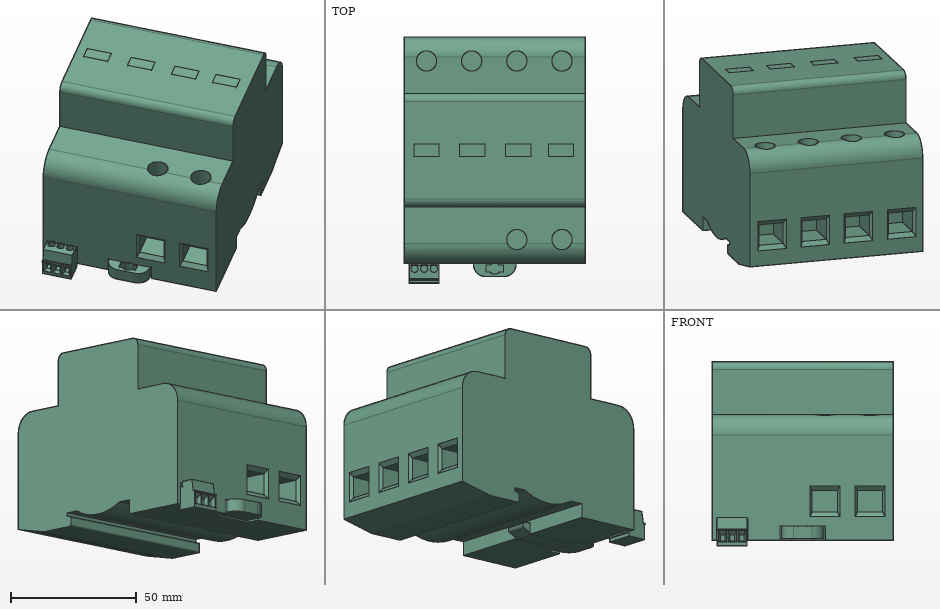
import cadquery as cq


OVERALL_DEPTH = 97.9
WIDTH = 71.9
DEPTH = 90.0
SHOULDER_Z = 49.9
SHOULDER_RADIUS = 8.0
TOP_Z = 71.0
TOP_DEPTH = 44.9
TOP_RADIUS = 3.0
REAR_SLOPE_Z = 3.1
REAR_SLOPE_Y = 30.35
HALF_DEPTH = DEPTH / 2
FRONT_Y = -HALF_DEPTH

GROOVE_Z = 5.7
GROOVE_FRONT_Y = -17.7
GROOVE_REAR_Y = 17.3
HOOK_LENGTH = 2.1
HOOK_ROOT_Z = 4.4
HOOK_TIP_Z = 3.8
HOOK_RADIUS = 0.4
BELLY_HALF_WIDTH = 12.1
BELLY_Z = 2.5

POLE_PITCH = 17.9
POLE_COUNT = 4
POLE_SHIFT = -0.2
POLE_X = [(i - (POLE_COUNT - 1) / 2) * POLE_PITCH + POLE_SHIFT for i in range(POLE_COUNT)]
FRONT_POLE_X = POLE_X[2:]
ACCESS_DIAMETER = 8.0
ACCESS_DEPTH = 19.6
ACCESS_Y = 35.4

ENTRY_CENTER_Z = 15.6
ENTRY_WIDTH = 11.8
ENTRY_HEIGHT = 12.1
ENTRY_INNER_WIDTH = 10.0
ENTRY_INNER_HEIGHT = 8.5
ENTRY_TAPER_DEPTH = 1.5
ENTRY_DEPTH = 14.7

WINDOW_X = [-27.1, -8.9, 9.3, 26.3]
WINDOW_WIDTH = 10.0
WINDOW_LENGTH = 5.0
WINDOW_THICKNESS = 1.0

LATCH_HEAD_BOTTOM_Z = 0.7
LATCH_HEAD_HALF_FLAT = 3.6
LATCH_HEAD_RADIUS = 4.9
LATCH_HEAD_OUT = 5.2
LATCH_HEAD_IN = 5.9
LATCH_CHANNEL_WIDTH = 18.1
SHANK_WIDTH = 8.8
SHANK_TOP_Z = 4.7
NOSE_LENGTH = 3.5
NOSE_TOP_Z = 4.1
NOSE_BOTTOM_Z = 2.35
NOSE_SLOPE_LENGTH = 4.7
NOSE_RADIUS = 0.8
LATCH_HOLE_OUT = 2.0
LATCH_HOLE_DEPTH = 3.9
LATCH_HOLE_DIAMETER = 4.5
LATCH_SLOT_WIDTH = 6.9
LATCH_SLOT_LENGTH = 2.6

PLUG_X = -28.0
PLUG_WIDTH = 11.9
PLUG_TOP_Z = 9.2
PLUG_BOTTOM_Z = -2.2
PLUG_KEY_Z = -0.7
PLUG_KEY_OUT = -1.4
PLUG_BACK_OUT = -0.7
PLUG_NOTCH_OUT = 0.7
PLUG_NOTCH_Z = 7.0
PLUG_TOP_OUT = 6.0
PLUG_LEDGE_OUT = 6.8
PLUG_LEDGE_Z = 4.6
PLUG_FACE_OUT = 7.4
PLUG_RIDGE_OUT = OVERALL_DEPTH - DEPTH
PLUG_RIDGE_Z = 4.2
PLUG_RIDGE_BOTTOM_Z = 3.9
SOCKET_WIDTH = 12.6
SOCKET_TOP_Z = 8.6
TERMINAL_PITCH = 3.8
TERMINAL_X = [PLUG_X + i * TERMINAL_PITCH for i in (-1, 0, 1)]
BARREL_DIAMETER = 3.9
SCREW_DIAMETER = 2.8
SCREW_OUT = 2.1
SCREW_TOP_Z = 6.3
SCREW_BOTTOM_Z = 4.5
FUNNEL_WIDTH = 3.2
FUNNEL_TOP_Z = 3.9
FUNNEL_BOTTOM_Z = -0.7
FUNNEL_INNER_WIDTH = 1.8
FUNNEL_INNER_TOP_Z = 2.2
FUNNEL_INNER_BOTTOM_Z = -0.2
FUNNEL_TAPER_DEPTH = 1.5
FUNNEL_DEPTH = 3.9


def box(x, y, z):
    """Axis-aligned box from three (low, high) pairs."""
    size = [high - low for low, high in (x, y, z)]
    return cq.Workplane("XY").box(*size, centered=False).translate((x[0], y[0], z[0]))


def around(center, width):
    """The (low, high) pair of a width centred on a position."""
    return (center - width / 2, center + width / 2)


def extrude_profile(outline, width, center_x=0):
    """Extrude a closed YZ outline along X, centred on center_x."""
    return outline.extrude(width / 2, both=True).translate((center_x, 0, 0))


def out(distance):
    """Y of a point that lies this far forward of the housing front."""
    return FRONT_Y - distance


def rounded_along_x(solid, y, z, radius):
    """Round the X-running edge at (y, z)."""
    span = 0.05
    picker = cq.selectors.BoxSelector((-WIDTH, y - span, z - span), (WIDTH, y + span, z + span))
    return solid.edges("|X").edges(picker).fillet(radius)


def funnel(x, outer_z, outer_width, inner_z, inner_width, face_y, taper, depth):
    """Rectangular mouth that tapers in +Y from face_y and then runs straight to the depth."""
    outer_height = outer_z[1] - outer_z[0]
    inner_height = inner_z[1] - inner_z[0]
    mouth = (
        cq.Workplane("XZ", origin=(x, face_y, sum(outer_z) / 2))
        .rect(outer_width, outer_height)
        .workplane(offset=-taper)
        .center(0, (sum(inner_z) - sum(outer_z)) / 2)
        .rect(inner_width, inner_height)
        .loft(ruled=True)
    )
    bore = box(around(x, inner_width), (face_y + taper, face_y + depth), inner_z)
    return mouth.union(bore)


def wire_entry(x):
    return funnel(
        x,
        around(ENTRY_CENTER_Z, ENTRY_HEIGHT),
        ENTRY_WIDTH,
        around(ENTRY_CENTER_Z, ENTRY_INNER_HEIGHT),
        ENTRY_INNER_WIDTH,
        FRONT_Y,
        ENTRY_TAPER_DEPTH,
        ENTRY_DEPTH,
    )


def window(x):
    """Label window set flush into the top face."""
    return box(around(x, WINDOW_WIDTH), around(0, WINDOW_LENGTH), (TOP_Z - WINDOW_THICKNESS, TOP_Z))


def housing_block():
    """The housing as a solid profile, before any openings."""
    half_top = TOP_DEPTH / 2
    hook_y = GROOVE_REAR_Y - HOOK_LENGTH
    outline = (
        cq.Workplane("YZ")
        .moveTo(FRONT_Y, 0)
        .lineTo(FRONT_Y, SHOULDER_Z)
        .lineTo(-half_top, SHOULDER_Z)
        .lineTo(-half_top, TOP_Z)
        .lineTo(half_top, TOP_Z)
        .lineTo(half_top, SHOULDER_Z)
        .lineTo(HALF_DEPTH, SHOULDER_Z)
        .lineTo(HALF_DEPTH, REAR_SLOPE_Z)
        .lineTo(REAR_SLOPE_Y, 0)
        .lineTo(hook_y, 0)
        .lineTo(hook_y, HOOK_TIP_Z)
        .lineTo(GROOVE_REAR_Y, HOOK_ROOT_Z)
        .lineTo(GROOVE_REAR_Y, GROOVE_Z)
        .lineTo(BELLY_HALF_WIDTH, GROOVE_Z)
        .threePointArc((0, BELLY_Z), (-BELLY_HALF_WIDTH, GROOVE_Z))
        .lineTo(GROOVE_FRONT_Y, GROOVE_Z)
        .lineTo(GROOVE_FRONT_Y, 0)
        .close()
    )
    block = extrude_profile(outline, WIDTH)
    for side in (-1, 1):
        block = rounded_along_x(block, side * half_top, TOP_Z, TOP_RADIUS)
        block = rounded_along_x(block, side * HALF_DEPTH, SHOULDER_Z, SHOULDER_RADIUS)
    for z in (0, HOOK_TIP_Z):
        block = rounded_along_x(block, hook_y, z, HOOK_RADIUS)
    return block


def access_holes():
    """Screwdriver holes: one per pole at the rear, two at the front."""
    places = [(x, ACCESS_Y) for x in POLE_X] + [(x, -ACCESS_Y) for x in FRONT_POLE_X]
    return (
        cq.Workplane("XY", origin=(0, 0, SHOULDER_Z - ACCESS_DEPTH))
        .pushPoints(places)
        .circle(ACCESS_DIAMETER / 2)
        .extrude(ACCESS_DEPTH)
    )


def latch_channel():
    """Wide pocket for the latch head, then a narrow guide for its shank, both open below."""
    head = box(around(0, LATCH_CHANNEL_WIDTH), (FRONT_Y, out(-LATCH_HEAD_IN)), (0, GROOVE_Z))
    guide = box(around(0, SHANK_WIDTH), (FRONT_Y, GROOVE_FRONT_Y), (0, SHANK_TOP_Z))
    return head.union(guide)


def connector_socket():
    """Shallow recess that takes the back of the connector, open below."""
    return box(around(PLUG_X, SOCKET_WIDTH), (FRONT_Y, out(PLUG_KEY_OUT)), (0, SOCKET_TOP_Z))


def make_housing():
    body = housing_block().cut(access_holes()).cut(latch_channel()).cut(connector_socket())
    for x in FRONT_POLE_X:
        body = body.cut(wire_entry(x))
    for x in POLE_X:
        body = body.cut(wire_entry(x).mirror("XZ"))
    for x in WINDOW_X:
        body = body.cut(window(x))
    return body


def make_latch():
    """Rounded head with a tool hole, and a shank ending in the wedge nose that grips the rail."""
    half_head = LATCH_HEAD_HALF_FLAT + LATCH_HEAD_RADIUS
    head_y = (out(LATCH_HEAD_OUT), out(-LATCH_HEAD_IN))
    head = box((-half_head, half_head), head_y, (LATCH_HEAD_BOTTOM_Z, GROOVE_Z))
    head = head.edges("|Z and <Y").fillet(LATCH_HEAD_RADIUS)
    hole_start = cq.Workplane("XY", origin=(0, out(LATCH_HOLE_OUT), GROOVE_Z - LATCH_HOLE_DEPTH))
    head = head.cut(hole_start.circle(LATCH_HOLE_DIAMETER / 2).extrude(LATCH_HOLE_DEPTH))
    head = head.cut(hole_start.rect(LATCH_SLOT_WIDTH, LATCH_SLOT_LENGTH).extrude(LATCH_HOLE_DEPTH))

    nose_y = GROOVE_FRONT_Y + NOSE_LENGTH
    shank_outline = cq.Workplane("YZ").polyline(
        [
            (out(-LATCH_HEAD_IN), 0),
            (out(-LATCH_HEAD_IN), SHANK_TOP_Z),
            (GROOVE_FRONT_Y, SHANK_TOP_Z),
            (nose_y, NOSE_TOP_Z),
            (nose_y, NOSE_BOTTOM_Z),
            (nose_y - NOSE_SLOPE_LENGTH, 0),
        ]
    ).close()
    shank = extrude_profile(shank_outline, SHANK_WIDTH)
    for z in (NOSE_TOP_Z, NOSE_BOTTOM_Z):
        shank = rounded_along_x(shank, nose_y, z, NOSE_RADIUS)
    return head.union(shank)


def make_connector():
    """Plug-in terminal strip: screw barrels at the rear, wire funnels at the front."""
    outline = cq.Workplane("YZ").polyline(
        [
            (out(PLUG_BACK_OUT), PLUG_BOTTOM_Z),
            (out(PLUG_FACE_OUT), PLUG_BOTTOM_Z),
            (out(PLUG_FACE_OUT), PLUG_RIDGE_BOTTOM_Z),
            (out(PLUG_RIDGE_OUT), PLUG_RIDGE_Z),
            (out(PLUG_FACE_OUT), PLUG_LEDGE_Z),
            (out(PLUG_LEDGE_OUT), PLUG_LEDGE_Z),
            (out(PLUG_TOP_OUT), PLUG_TOP_Z),
            (out(PLUG_NOTCH_OUT), PLUG_TOP_Z),
            (out(PLUG_NOTCH_OUT), PLUG_NOTCH_Z),
            (out(PLUG_KEY_OUT), PLUG_NOTCH_Z),
            (out(PLUG_KEY_OUT), PLUG_KEY_Z),
            (out(PLUG_BACK_OUT), PLUG_KEY_Z),
        ]
    ).close()
    strip = extrude_profile(outline, PLUG_WIDTH, PLUG_X)
    for x in TERMINAL_X:
        barrel = cq.Workplane("XY", origin=(x, out(SCREW_OUT), PLUG_NOTCH_Z)).circle(BARREL_DIAMETER / 2)
        strip = strip.union(barrel.extrude(PLUG_TOP_Z - PLUG_NOTCH_Z))
    for x in TERMINAL_X:
        bore = cq.Workplane("XY", origin=(x, out(SCREW_OUT), SCREW_BOTTOM_Z)).circle(SCREW_DIAMETER / 2)
        strip = strip.cut(bore.extrude(PLUG_TOP_Z - SCREW_BOTTOM_Z))
        strip = strip.cut(
            funnel(
                x,
                (FUNNEL_BOTTOM_Z, FUNNEL_TOP_Z),
                FUNNEL_WIDTH,
                (FUNNEL_INNER_BOTTOM_Z, FUNNEL_INNER_TOP_Z),
                FUNNEL_INNER_WIDTH,
                out(PLUG_FACE_OUT),
                FUNNEL_TAPER_DEPTH,
                FUNNEL_DEPTH,
            )
        )
    return strip


def make_screw(x):
    """Clamping screw sunk in its barrel."""
    start = cq.Workplane("XY", origin=(x, out(SCREW_OUT), SCREW_BOTTOM_Z))
    return start.circle(SCREW_DIAMETER / 2).extrude(SCREW_TOP_Z - SCREW_BOTTOM_Z)


housing = make_housing()
latch = make_latch()
connector = make_connector()
windows = [window(x) for x in WINDOW_X]
screws = [make_screw(x) for x in TERMINAL_X]

result = cq.Compound.makeCompound(
    [
        housing.val(),
        latch.val(),
        connector.val(),
        *[pane.val() for pane in windows],
        *[screw.val() for screw in screws],
    ]
)